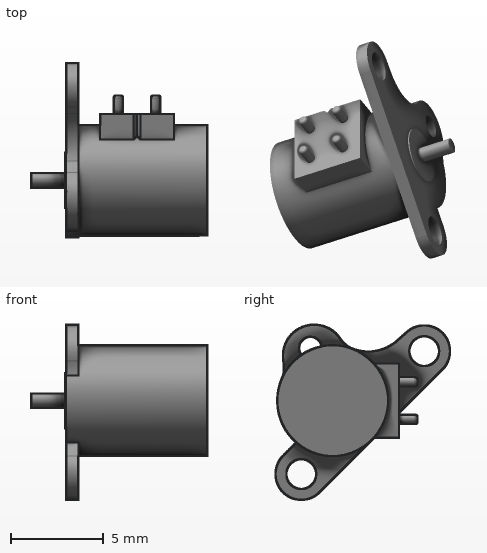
import cadquery as cq
import math

body_radius = 3.0
body_end = 9.52

shaft_radius = 0.4
boss_radius = 1.5
boss_start = 1.82

plate_start = 1.885
plate_thickness = 0.67
plate_end = plate_start + plate_thickness

ear_span = 6.645
lower_ear = (-1.69, -3.97)
upper_ear = (lower_ear[0] + ear_span, lower_ear[1] + ear_span)
ear_radius = 1.4
ear_hole_radius = 0.8

lobe_center = (-1.0, 2.42)
lobe_radius = 1.69
lobe_hole_center = (-1.2, 2.84)
lobe_hole_radius = 0.61
lobe_waist_start_z = 2.15
lobe_waist_end_z = 1.35

valley_center_y = 1.92
valley_bottom_z = 2.66
valley_radius = 2.38
valley_end_y = 1.06
lobe_joint_angle = 32.0
lobe_top_angle = 90.0

block_start = 3.72
block_length = 4.0
block_half_height = 2.02
block_outer_y = 3.59
groove_depth = 0.2
pin_radius = 0.26
pin_tip_y = 4.6
pin_tip_fillet = 0.15
pin_spacing = 2.02


def on_circle(center, radius, degrees):
    angle = math.radians(degrees)
    return (center[0] + radius * math.cos(angle), center[1] + radius * math.sin(angle))


def cylinder(start, end, radius, center=(0, 0)):
    """Round bar along X between two X positions."""
    return cq.Workplane("YZ", origin=(start, 0, 0)).center(*center).circle(radius).extrude(end - start)


def make_plate():
    valley_center = (valley_center_y, valley_bottom_z + valley_radius)
    valley_end_drop = math.sqrt(valley_radius**2 - (valley_center_y - valley_end_y) ** 2)
    valley_end = (valley_end_y, valley_center[1] - valley_end_drop)

    waist_offset = math.sqrt(lobe_radius**2 - (lobe_center[1] - lobe_waist_start_z) ** 2)
    waist_start = (lobe_center[0] - waist_offset, lobe_waist_start_z)
    waist_end = (-math.sqrt(body_radius**2 - lobe_waist_end_z**2), lobe_waist_end_z)

    ear_edge_offset = (lower_ear[1] - lower_ear[0] + ear_radius * math.sqrt(2)) / math.sqrt(2)
    notch_angle = 135 + math.degrees(math.acos(ear_edge_offset / body_radius))
    notch = on_circle((0, 0), body_radius, notch_angle)
    waist_angle = 180 - math.degrees(math.asin(lobe_waist_end_z / body_radius))
    body_arc_middle = on_circle((0, 0), body_radius, (waist_angle + notch_angle) / 2)

    outline = (
        cq.Workplane("YZ", origin=(plate_start, 0, 0))
        .moveTo(*on_circle(lower_ear, ear_radius, -45))
        .lineTo(*on_circle(upper_ear, ear_radius, -45))
        .threePointArc(on_circle(upper_ear, ear_radius, 45), on_circle(upper_ear, ear_radius, 135))
        .lineTo(*on_circle(valley_center, valley_radius, -45))
        .threePointArc((valley_center_y, valley_bottom_z), valley_end)
        .tangentArcPoint(on_circle(lobe_center, lobe_radius, lobe_joint_angle), relative=False)
        .threePointArc(on_circle(lobe_center, lobe_radius, lobe_top_angle), waist_start)
        .tangentArcPoint(waist_end, relative=False)
        .threePointArc(body_arc_middle, notch)
        .lineTo(*on_circle(lower_ear, ear_radius, 135))
        .threePointArc(on_circle(lower_ear, ear_radius, 225), on_circle(lower_ear, ear_radius, -45))
        .close()
    )
    plate = outline.extrude(plate_thickness)
    for ear in (lower_ear, upper_ear):
        plate = plate.cut(cylinder(plate_start, plate_end, ear_hole_radius, ear))
    return plate.cut(cylinder(plate_start, plate_end, lobe_hole_radius, lobe_hole_center))


def make_terminal_block():
    """Block with a V groove along its top and a square of four round-tipped pins on its outer face."""
    middle = block_start + block_length / 2
    block = cq.Workplane("XY").box(
        block_length, block_outer_y, 2 * block_half_height, centered=(True, False, True)
    ).translate((middle, 0, 0))
    groove = (
        cq.Workplane("XZ")
        .moveTo(middle - groove_depth, block_half_height)
        .lineTo(middle, block_half_height - groove_depth)
        .lineTo(middle + groove_depth, block_half_height)
        .close()
        .extrude(-block_outer_y)
    )
    block = block.cut(groove)
    pins = (
        cq.Workplane("XZ")
        .center(middle, 0)
        .rect(pin_spacing, pin_spacing, forConstruction=True)
        .vertices()
        .circle(pin_radius)
        .extrude(-pin_tip_y)
        .faces(">Y")
        .edges()
        .fillet(pin_tip_fillet)
    )
    return block.union(pins)


body = cylinder(plate_end, body_end, body_radius)
boss = cylinder(boss_start, plate_start, boss_radius)
shaft = cylinder(0, plate_start, shaft_radius)

result = body.union(make_terminal_block()).union(make_plate()).union(boss).union(shaft)